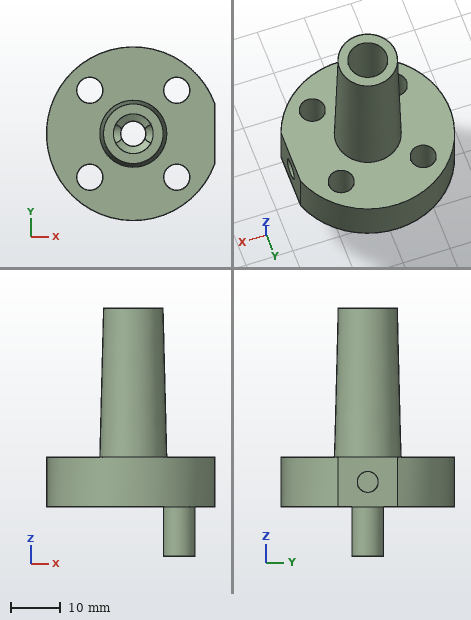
import cadquery as cq
import math

FLANGE_DIAMETER = 35.0
FLANGE_THICKNESS = 10.0
FLAT_WIDTH = 12.0
FLAT_X = math.sqrt((FLANGE_DIAMETER / 2) ** 2 - (FLAT_WIDTH / 2) ** 2)

MOUNTING_HOLE_DIAMETER = 5.2
MOUNTING_HOLE_SPACING = FLANGE_DIAMETER / 2

SPIGOT_BASE_DIAMETER = 13.5
SPIGOT_TIP_DIAMETER = 12.0
SPIGOT_HEIGHT = 30.0
SPIGOT_TOP_Z = FLANGE_THICKNESS + SPIGOT_HEIGHT

PIN_DIAMETER = 6.4
PIN_LENGTH = 10.0
PIN_X = 9.25

PASSAGE_DIAMETER = 4.2
PASSAGE_Z = FLANGE_THICKNESS / 2
PASSAGE_OVERRUN = 1.0

BORE_DIAMETER = 8.0
OUTLET_DIAMETER = 5.0
SHOULDER_POINT_ANGLE = 118.0
SHOULDER_DROP_BELOW_PASSAGE_AXIS = 1.0
SHOULDER_TOP_Z = PASSAGE_Z - SHOULDER_DROP_BELOW_PASSAGE_AXIS
SHOULDER_HEIGHT = (BORE_DIAMETER - OUTLET_DIAMETER) / 2 / math.tan(math.radians(SHOULDER_POINT_ANGLE / 2))
SHOULDER_BOTTOM_Z = SHOULDER_TOP_Z - SHOULDER_HEIGHT


def make_flange():
    """Disc with the flat on its +X side and the mounting holes."""
    disc = cq.Workplane("XY").circle(FLANGE_DIAMETER / 2).extrude(FLANGE_THICKNESS)
    beyond_flat = (
        cq.Workplane("XY")
        .box(FLANGE_DIAMETER, FLANGE_DIAMETER, FLANGE_THICKNESS, centered=(False, True, False))
        .translate((FLAT_X, 0, 0))
    )
    mounting_holes = (
        cq.Workplane("XY")
        .rarray(MOUNTING_HOLE_SPACING, MOUNTING_HOLE_SPACING, 2, 2)
        .circle(MOUNTING_HOLE_DIAMETER / 2)
        .extrude(FLANGE_THICKNESS)
    )
    return disc.cut(beyond_flat).cut(mounting_holes)


def make_spigot():
    """Solid cone frustum rising from the top of the flange."""
    half_profile = [
        (0, FLANGE_THICKNESS),
        (SPIGOT_BASE_DIAMETER / 2, FLANGE_THICKNESS),
        (SPIGOT_TIP_DIAMETER / 2, SPIGOT_TOP_Z),
        (0, SPIGOT_TOP_Z),
    ]
    return cq.Workplane("XZ").polyline(half_profile).close().revolve(360, (0, 0), (0, 1))


def make_pin():
    """Plain pin hanging from the underside of the flange."""
    return cq.Workplane("XY").center(PIN_X, 0).circle(PIN_DIAMETER / 2).extrude(-PIN_LENGTH)


def make_centre_bore():
    """Volume removed along Z: wide bore, conical shoulder and narrow outlet."""
    half_profile = [
        (0, 0),
        (OUTLET_DIAMETER / 2, 0),
        (OUTLET_DIAMETER / 2, SHOULDER_BOTTOM_Z),
        (BORE_DIAMETER / 2, SHOULDER_TOP_Z),
        (BORE_DIAMETER / 2, SPIGOT_TOP_Z),
        (0, SPIGOT_TOP_Z),
    ]
    return cq.Workplane("XZ").polyline(half_profile).close().revolve(360, (0, 0), (0, 1))


def make_cross_passage():
    """Volume removed along X, from the flat to just past the centre bore."""
    length = FLAT_X + BORE_DIAMETER / 2 + PASSAGE_OVERRUN
    return (
        cq.Workplane("YZ", origin=(FLAT_X, 0, PASSAGE_Z))
        .circle(PASSAGE_DIAMETER / 2)
        .extrude(-length)
    )


body = make_flange().union(make_spigot()).union(make_pin())
result = body.cut(make_centre_bore()).cut(make_cross_passage())